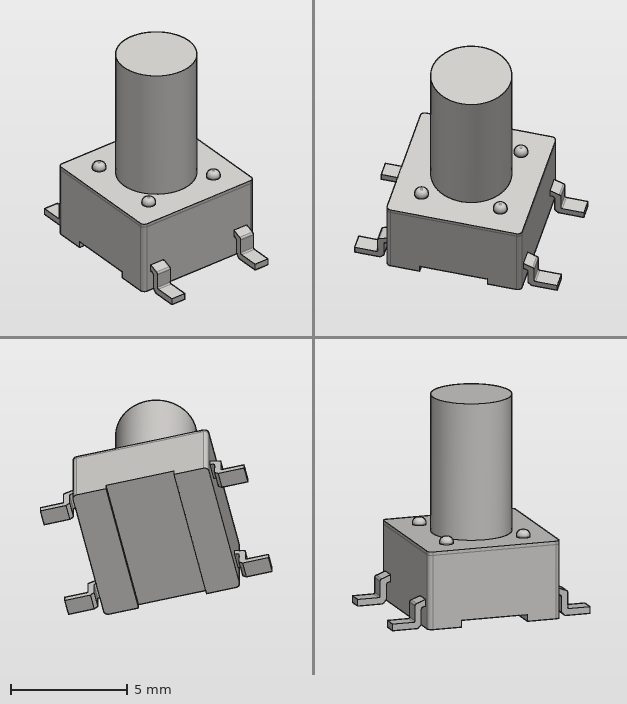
import cadquery as cq

body_side = 6.0
body_top = 3.3
corner_radius = 0.2
channel_length = 3.0
channel_height = 0.3

cover_thickness = 0.15
cover_top = body_top + cover_thickness

button_diameter = 3.5
button_top = 9.5

rivet_diameter = 0.6
rivet_height = 0.3
rivet_rounding = 0.25
rivet_spacing = 3.5

lead_span = 9.0
lead_width = 0.7
lead_pitch = 4.5
foot_thickness = 0.3
leg_outer_x = 3.48
leg_inner_x = 3.2
shoulder_outer_z = 1.09
shoulder_root_z = 1.27
shoulder_underside_z = 0.95
upper_bend_radius = 0.11
inner_bend_radius = 0.13
heel_chamfer = 0.16
toe_bend_radius = 0.06


def make_housing():
    """Rounded square block with a channel along Y through its underside."""
    housing = (
        cq.Workplane("XY")
        .rect(body_side, body_side)
        .extrude(body_top)
        .edges("|Z")
        .fillet(corner_radius)
    )
    channel = cq.Workplane("XY").box(
        channel_length, body_side, channel_height, centered=(True, True, False)
    )
    return housing.cut(channel)


def make_cover():
    return (
        cq.Workplane("XY", origin=(0, 0, body_top))
        .rect(body_side, body_side)
        .extrude(cover_thickness)
        .edges("|Z")
        .fillet(corner_radius)
    )


def make_button():
    return (
        cq.Workplane("XY", origin=(0, 0, cover_top))
        .circle(button_diameter / 2)
        .extrude(button_top - cover_top)
    )


def make_rivet(x, y):
    return (
        cq.Workplane("XY", origin=(x, y, cover_top))
        .circle(rivet_diameter / 2)
        .extrude(rivet_height)
        .faces(">Z")
        .edges()
        .fillet(rivet_rounding)
    )


def make_lead(y):
    """Bent strip on the +X side with a chamfered heel, centred on the given Y."""
    wall_x = body_side / 2
    lead = (
        cq.Workplane("XZ", origin=(0, y + lead_width / 2, 0))
        .moveTo(lead_span / 2, 0)
        .lineTo(lead_span / 2, foot_thickness)
        .lineTo(leg_outer_x, foot_thickness)
        .lineTo(leg_outer_x, shoulder_outer_z)
        .lineTo(wall_x, shoulder_root_z)
        .lineTo(wall_x, shoulder_underside_z)
        .lineTo(leg_inner_x, shoulder_underside_z)
        .lineTo(leg_inner_x, heel_chamfer)
        .lineTo(leg_inner_x + heel_chamfer, 0)
        .close()
        .extrude(lead_width)
    )
    bends = (
        (leg_outer_x, foot_thickness, toe_bend_radius),
        (leg_outer_x, shoulder_outer_z, upper_bend_radius),
        (leg_inner_x, shoulder_underside_z, inner_bend_radius),
    )
    for x, z, radius in bends:
        lead = lead.edges(cq.selectors.NearestToPointSelector((x, y, z))).fillet(radius)
    return lead


result = make_housing().union(make_cover(), clean=False).union(make_button(), clean=False)
for y_side in (-1, 1):
    for x_side in (-1, 1):
        rivet = make_rivet(x_side * rivet_spacing / 2, y_side * rivet_spacing / 2)
        result = result.union(rivet, clean=False)
    right_lead = make_lead(y_side * lead_pitch / 2)
    left_lead = right_lead.mirror("YZ")
    result = result.union(right_lead, clean=False).union(left_lead, clean=False)